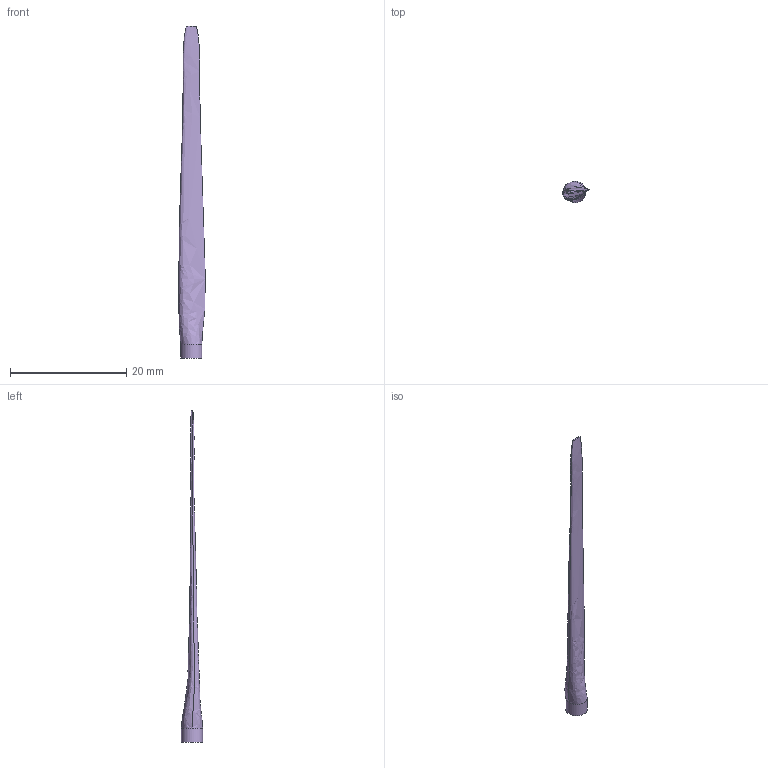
import cadquery as cq
import math

BLADE_LENGTH = 57.0
ROOT_RADIUS = 1.82
ROOT_LENGTH = 2.4
CREST_POSITION = 0.38
ROUND_CREST_POSITION = 0.5

STATIONS = [
    (5.0, -2.05, 1.98, 1.56, 1.54, 4.0, 0.40),
    (7.5, -2.18, 2.26, 1.16, 1.26, 9.0, 0.10),
    (11.0, -2.19, 2.42, 0.80, 1.08, 11.0, 0.0),
    (16.0, -2.17, 2.41, 0.60, 0.85, 10.0, 0.0),
    (24.0, -2.03, 2.15, 0.43, 0.63, 8.0, 0.0),
    (36.0, -1.67, 1.76, 0.28, 0.36, 5.0, 0.0),
    (46.0, -1.36, 1.40, 0.20, 0.22, 3.0, 0.0),
    (55.2, -1.19, 1.20, 0.16, 0.17, 2.0, 0.0),
    (BLADE_LENGTH, -0.84, 0.87, 0.08, 0.08, 1.0, 0.0),
]


def root_wire(height):
    """Root circle, split into a +Y half and a -Y half like the airfoil sections."""
    return (
        cq.Workplane("XY", origin=(0, 0, height))
        .moveTo(-ROOT_RADIUS, 0)
        .threePointArc((0, ROOT_RADIUS), (ROOT_RADIUS, 0))
        .threePointArc((0, -ROOT_RADIUS), (-ROOT_RADIUS, 0))
        .close()
        .val()
    )


def side_edge(height, leading, trailing, crest_x, depth, roundness):
    """One side of a section: blunt at the leading edge, flat at the crest."""
    start = cq.Vector(leading, 0, height)
    crest = cq.Vector(crest_x, depth, height)
    end = cq.Vector(trailing, 0, height)
    leading_tangent = cq.Vector(0, math.copysign(1, depth), 0)
    sharp_direction = math.atan2(-depth, trailing - crest_x)
    round_direction = math.copysign(math.pi / 2, -depth)
    end_direction = sharp_direction + roundness * (round_direction - sharp_direction)
    end_tangent = cq.Vector(math.cos(end_direction), math.sin(end_direction), 0)
    crest_tangent = cq.Vector(1, 0, 0)
    return cq.Edge.makeSpline([start, crest, end], tangents=[leading_tangent, crest_tangent, end_tangent])


def airfoil_wire(height, leading, trailing, plus_depth, minus_depth, twist, roundness):
    """Closed section of the blade, twisted about the root axis."""
    crest_fraction = CREST_POSITION + roundness * (ROUND_CREST_POSITION - CREST_POSITION)
    crest_x = leading + crest_fraction * (trailing - leading)
    plus_side = side_edge(height, leading, trailing, crest_x, plus_depth, roundness)
    minus_side = side_edge(height, leading, trailing, crest_x, -minus_depth, roundness)
    section = cq.Wire.assembleEdges([plus_side, minus_side])
    return section.rotate(cq.Vector(0, 0, 0), cq.Vector(0, 0, 1), twist)


def make_root():
    return cq.Workplane("XY").circle(ROOT_RADIUS).extrude(ROOT_LENGTH)


def make_blade():
    sections = [root_wire(ROOT_LENGTH)]
    for station in STATIONS:
        sections.append(airfoil_wire(*station))
    return cq.Workplane(cq.Solid.makeLoft(sections))


result = make_root().union(make_blade())